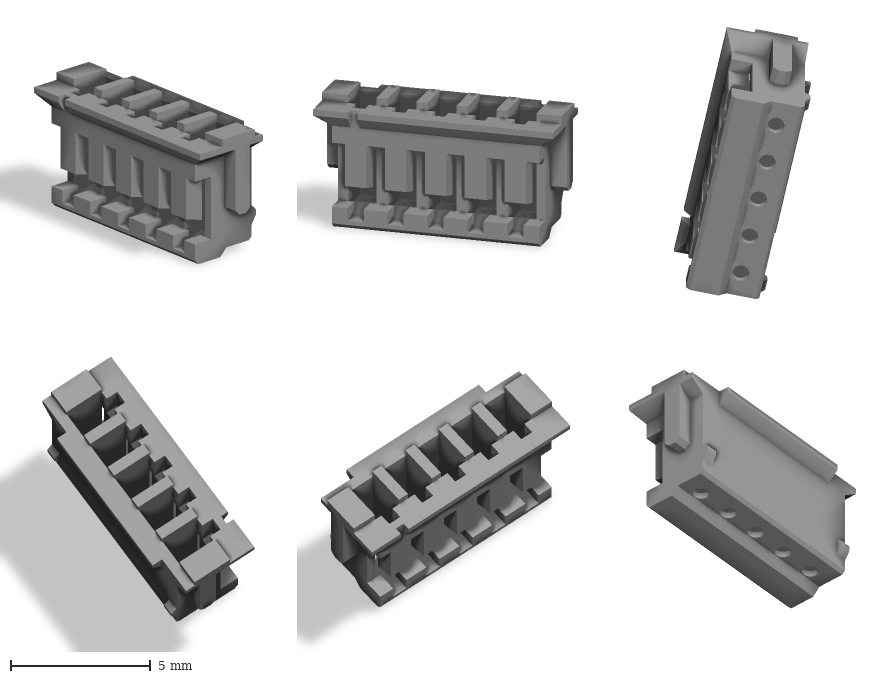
import cadquery as cq


contact_count = 5
contact_span = 5.99
pitch = contact_span / (contact_count - 1)

overall_length = 9.0
body_length = 7.785
body_depth = 2.69
rear_bottom_z = 0.31
ramp_front_y = 1.2
ramp_rear_y = 1.485
front_chamfer = 0.15
rear_chamfer = 0.13

flange_top = 4.5
flange_edge = 0.23
flange_taper = 0.41
flange_front_overhang = 0.3
flange_rear_overhang = 0.41
rear_tab_length = 6.0
key_notch_width = 0.35
key_notch_left = 1.31
flange_edge_bottom = flange_top - flange_edge
flange_bottom = flange_edge_bottom - flange_taper

rail_front_y = 1.39
rail_width = 0.7
rail_bottom = 1.71
rail_chamfer_width = 0.2
rail_chamfer_height = 0.19

block_height = 0.3
block_front_y = 0.765
block_depth = 1.55
block_rear_y = block_front_y + block_depth

pocket_width = 1.09
pocket_rear_y = 2.29
pocket_floor = 0.55
floor_slope_rear_y = 1.52
hole_diameter = 0.6
hole_y = 1.83
key_groove_width = 0.495
key_groove_depth = 0.46

recess_depth = block_front_y
recess_top = 3.2
recess_bottom = 0.79
fin_width = 0.81
fin_front_bottom = 1.61
fin_rear_bottom = 1.4
ledge_slot_width = 0.6
ledge_slot_floor = 0.3

bump_width = 0.45
bump_height = 0.22
bump_bottom = 0.86
bump_tip_bottom = 1.215
bump_tip_top = 1.41
bump_top = 1.61

contact_xs = [(i - (contact_count - 1) / 2) * pitch for i in range(contact_count)]


def box(x_range, y_range, z_range):
    """Axis-aligned box given by its lower and upper limits."""
    lows, highs = zip(x_range, y_range, z_range)
    sizes = [high - low for low, high in zip(lows, highs)]
    return cq.Workplane("XY").box(*sizes, centered=False).translate(lows)


def centred(middle, width):
    """Lower and upper limits of a width centred on a position."""
    return (middle - width / 2, middle + width / 2)


def side_prism(yz_points, length, x=0):
    """Prism along X with the given (Y, Z) outline, centred on x."""
    prism = cq.Workplane("YZ").polyline(yz_points).close().extrude(length / 2, both=True)
    return prism.translate((x, 0, 0))


def make_body():
    outline = [
        (front_chamfer, 0),
        (ramp_front_y, 0),
        (ramp_rear_y, rear_bottom_z),
        (body_depth - rear_chamfer, rear_bottom_z),
        (body_depth, rear_bottom_z + rear_chamfer),
        (body_depth, flange_top),
        (0, flange_top),
        (0, front_chamfer),
    ]
    return side_prism(outline, body_length)


def make_flange():
    half_length = overall_length / 2
    half_body = body_length / 2
    length_outline = [
        (-half_body, flange_bottom),
        (half_body, flange_bottom),
        (half_length, flange_edge_bottom),
        (half_length, flange_top),
        (-half_length, flange_top),
        (-half_length, flange_edge_bottom),
    ]
    depth_outline = [
        (0, flange_bottom),
        (body_depth, flange_bottom),
        (body_depth, flange_top),
        (-flange_front_overhang, flange_top),
        (-flange_front_overhang, flange_edge_bottom),
    ]
    tab_outline = [
        (body_depth, flange_bottom),
        (body_depth + flange_rear_overhang, flange_edge_bottom),
        (body_depth + flange_rear_overhang, flange_top),
        (body_depth, flange_top),
    ]
    long_prism = cq.Workplane("XZ").polyline(length_outline).close().extrude(overall_length, both=True)
    flange = long_prism.intersect(side_prism(depth_outline, overall_length))
    notch_left = -overall_length / 2 + key_notch_left
    notch = box(
        (notch_left, notch_left + key_notch_width),
        (-flange_front_overhang, 0),
        (flange_bottom, flange_top),
    )
    return flange.cut(notch).union(side_prism(tab_outline, rear_tab_length))


def make_rails():
    rail_rear_y = rail_front_y + rail_width
    outline = [
        (rail_front_y, flange_top),
        (rail_front_y, rail_bottom + rail_chamfer_height),
        (rail_front_y + rail_chamfer_width, rail_bottom),
        (rail_rear_y - rail_chamfer_width, rail_bottom),
        (rail_rear_y, rail_bottom + rail_chamfer_height),
        (rail_rear_y, flange_top),
    ]
    return side_prism(outline, overall_length)


def make_top_block():
    return box(
        centred(0, overall_length),
        (block_front_y, block_rear_y),
        (flange_top, flange_top + block_height),
    )


def make_bump(x):
    outline = [
        (body_depth, bump_bottom),
        (body_depth + bump_height, bump_tip_bottom),
        (body_depth + bump_height, bump_tip_top),
        (body_depth, bump_top),
    ]
    return side_prism(outline, bump_width, x)


def make_front_recess():
    return box(centred(0, body_length), (0, recess_depth), (recess_bottom, recess_top))


def make_fin(x):
    outline = [
        (0, fin_front_bottom),
        (recess_depth, fin_rear_bottom),
        (recess_depth, recess_top),
        (0, recess_top),
    ]
    return side_prism(outline, fin_width, x)


def make_contact_cutter(x):
    """Pocket with sloped floor, wire hole, key groove and slot through the front ledge."""
    pocket_outline = [
        (block_front_y, ledge_slot_floor),
        (floor_slope_rear_y, pocket_floor),
        (pocket_rear_y, pocket_floor),
        (pocket_rear_y, flange_top),
        (block_rear_y, flange_top),
        (block_rear_y, flange_top + block_height),
        (block_front_y, flange_top + block_height),
    ]
    hole = cq.Workplane("XY").center(x, hole_y).circle(hole_diameter / 2).extrude(flange_top)
    key_groove = box(
        centred(x, key_groove_width),
        (block_front_y - key_groove_depth, block_front_y),
        (recess_top, flange_top),
    )
    ledge_slot = box(
        centred(x, ledge_slot_width),
        (0, block_front_y),
        (ledge_slot_floor, recess_bottom),
    )
    pocket = side_prism(pocket_outline, pocket_width, x)
    return pocket.union(hole).union(key_groove).union(ledge_slot)


result = make_body().union(make_flange()).union(make_rails()).union(make_top_block())

for side in (-1, 1):
    result = result.union(make_bump(side * (body_length - bump_width) / 2))

result = result.cut(make_front_recess())

for contact_x in contact_xs:
    result = result.union(make_fin(contact_x)).cut(make_contact_cutter(contact_x))